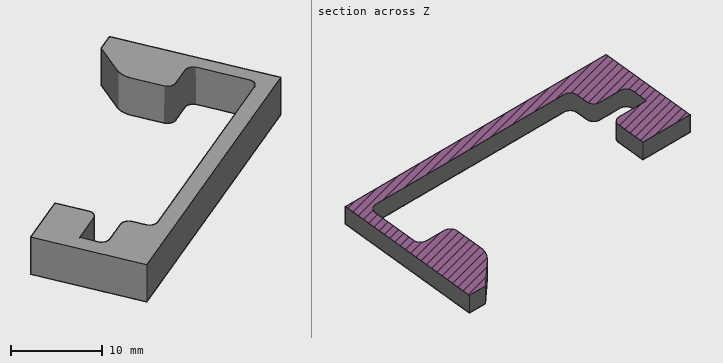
import cadquery as cq

width = 20.33
length = 38.5
thickness = 5.0

wall = 2.0
corner_radius = 1.0

hook_web = 1.77
hook_depth = 6.4
hook_inner_offset = 10.25
tip_height = 2.4
lead_in_radius = 3.0

arm_length = 13.8
arm_height = 7.0
slot_floor = 2.0
slot_offset = 5.62
slot_width = 3.15

wall_x = width - wall
hook_x = width - hook_inner_offset
hook_y = length - hook_depth
web_y = length - hook_web
lead_in_run = hook_depth - tip_height
arm_x = width - arm_length
slot_right_x = width - slot_offset
slot_left_x = slot_right_x - slot_width

profile = [
    (arm_x, 0),
    (width, 0),
    (width, length),
    (0, length),
    (0, length - tip_height),
    (lead_in_run, hook_y),
    (hook_x, hook_y),
    (hook_x, web_y),
    (wall_x, web_y),
    (wall_x, arm_height),
    (slot_right_x, arm_height),
    (slot_right_x, slot_floor),
    (slot_left_x, slot_floor),
    (slot_left_x, arm_height),
    (arm_x, arm_height),
]

rounded_corners = [
    (hook_x, hook_y),
    (hook_x, web_y),
    (wall_x, web_y),
    (wall_x, arm_height),
    (slot_right_x, arm_height),
    (slot_right_x, slot_floor),
    (slot_left_x, arm_height),
]


def round_corner(body, corner, radius):
    """Fillet the vertical edge standing on the given profile corner."""
    x, y = corner
    nearest = cq.selectors.NearestToPointSelector((x, y, thickness / 2))
    return body.edges("|Z").edges(nearest).fillet(radius)


result = cq.Workplane("XY").polyline(profile).close().extrude(thickness)
result = round_corner(result, (lead_in_run, hook_y), lead_in_radius)
for rounded_corner in rounded_corners:
    result = round_corner(result, rounded_corner, corner_radius)